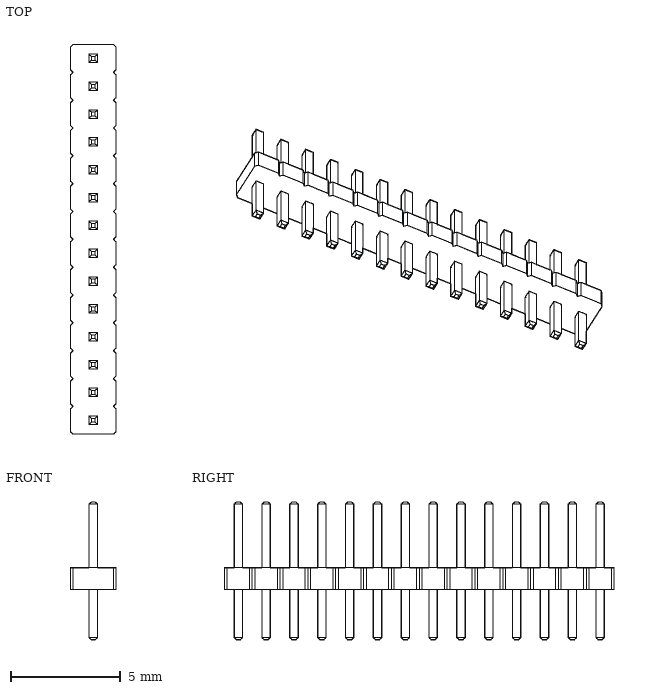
import cadquery as cq

pin_count = 14
row_length = 17.78
pitch = row_length / pin_count

body_width = 2.1
body_height = 1.0
corner_chamfer = 0.12

pin_side = 0.4
pin_above = 3.0
pin_below = 2.3
pin_length = pin_below + body_height + pin_above
tip_chamfer = 0.1


def body_outline():
    """Corners of the body: every pin position is a block with chamfered corners."""
    half_width = body_width / 2
    half_neck = half_width - corner_chamfer
    right_side = []
    for block in range(pin_count):
        start = -row_length / 2 + block * pitch
        end = start + pitch
        right_side += [
            (half_neck, start),
            (half_width, start + corner_chamfer),
            (half_width, end - corner_chamfer),
        ]
    right_side.append((half_neck, row_length / 2))
    left_side = [(-x, y) for x, y in reversed(right_side)]
    return right_side + left_side


def make_body():
    return cq.Workplane("XY").polyline(body_outline()).close().extrude(body_height)


def make_pins():
    """All pins, each centred on its block and chamfered around both ends."""
    return (
        cq.Workplane("XY", origin=(0, 0, -pin_below))
        .rarray(pitch, pitch, 1, pin_count)
        .rect(pin_side, pin_side)
        .extrude(pin_length)
        .faces("<Z or >Z")
        .chamfer(tip_chamfer)
    )


result = make_body().union(make_pins())